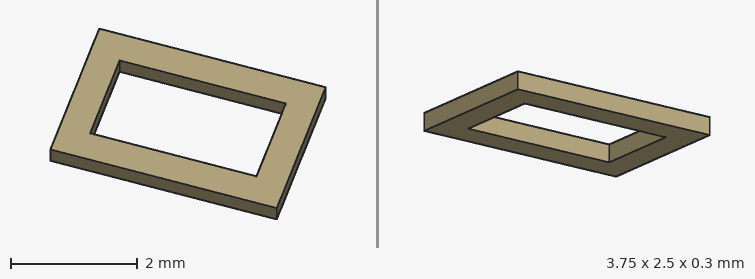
import cadquery as cq

length = 3.75
width = 2.5
thickness = 0.3

border = 0.5

window_length = length - 2 * border
window_width = width - 2 * border

plate = cq.Workplane("XY").box(length, width, thickness)
window = cq.Workplane("XY").box(window_length, window_width, thickness)

result = plate.cut(window)